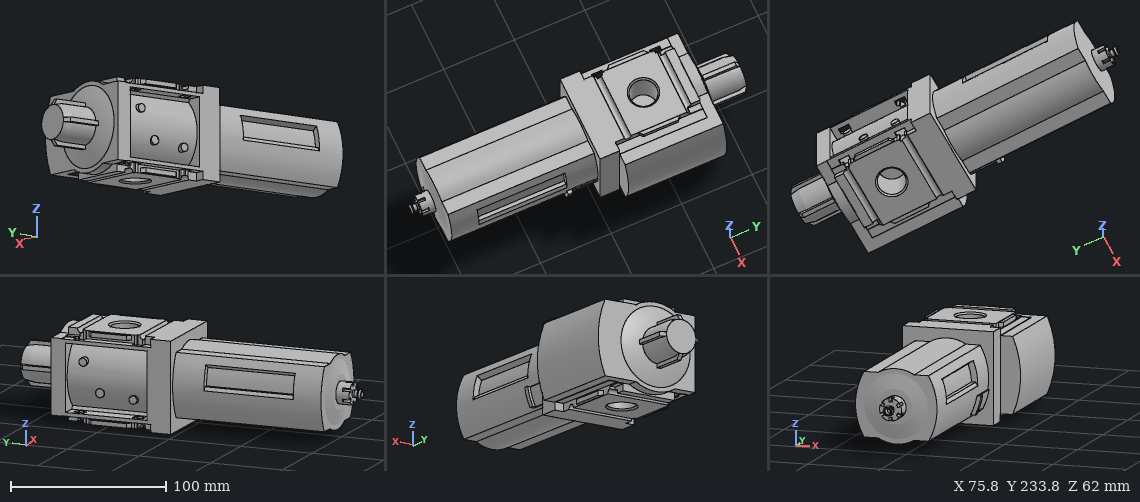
import cadquery as cq
import math


block_half = 31.0
collar_end_y = -45.0
cover_half_z = 25.8
strip_half_z = 25.5
plate_end_y = 38.7
cover_edge_x = 39.4
cover_crown_x = 44.8
plate_barrel_radius = 30.0

pad_half_x = 24.3
wing_reach_x = 26.9
wing_root_half_y = 14.7
wing_tip_half_y = 12.3
wing_top_z = 30.7
wing_bottom_z = 27.5
port_diameter = 18.63
port_mouth_diameter = 20.9
port_mouth_depth = (port_mouth_diameter - port_diameter) / 2
port_depth = 25.0
groove_radius = 2.35
groove_offset_y = 22.2
groove_centre_z = block_half - 0.5
notch_inner_x = 20.1
notch_front_y = 21.9
notch_floor_z = 26.3

window_half_y = 28.4
window_half_z = 23.0
window_chamfer_x = -20.8
column_radius = 28.4
column_half_z = 20.8
column_edge_x = -math.sqrt(column_radius ** 2 - column_half_z ** 2)
clip_offset_y = 20.5
clip_head_outer_x = -27.6
clip_head_inner_x = -24.0
clip_head_width = 7.2
clip_neck_inner_x = -22.4
clip_neck_width = 3.6
column_pins = [
    (5.5, -28.8, 17.3, 10.9),
    (6.0, -28.0, 5.8, -8.8),
    (5.5, -28.8, -17.7, -11.0),
]

dome_radius = 27.0
dome_middle_radius = 20.5
dome_middle_y = 41.0
knob_base_y = 42.2
knob_end_y = 68.0
knob_core_radius = 12.6
knob_end_radius = 11.4
knob_taper_y = 61.5
knob_rib_radius = 15.15
knob_rib_width = 2.9
knob_rib_chamfer_y = 65.2

bowl_half_x = 27.85
bowl_flat_half_z = 21.65
bowl_corner_x = 22.0
bowl_bulge_radius = 24.9
bowl_end_y = -148.6
bowl_side_radius = ((bowl_half_x - bowl_corner_x) ** 2 + bowl_flat_half_z ** 2) / (
    2 * (bowl_half_x - bowl_corner_x)
)
end_cone_radius = 21.6
end_flat_radius = 11.7
end_flat_y = -150.5

sight_top_y = -66.9
sight_bottom_y = -129.2
sight_depth = 4.2
sight_upper_z = 16.1
sight_upper_floor_z = 13.5
sight_shelf_z = 1.8
sight_bevel_depth = 1.5
sight_lower_z = -0.6

latch_upper_z = -7.2
latch_lower_z = -20.0
latch_thickness = 0.9
latch_lip_thickness = 2.8
latch_lip_top_y = -63.6
latch_bottom_y = sight_top_y

drain_radius = 7.5
drain_end_y = -159.8
drain_slot_count = 6
drain_slot_width = 2.0
drain_slot_top_y = -154.8
drain_slot_inner_radius = 5.2
stem_radius = 2.5
stem_ring_radius = 3.3
stem_ring_y = -163.9
stem_ring_width = 0.8
stem_tip_radius = 2.8
stem_end_y = -165.8
stem_bore_diameter = 3.8
stem_bore_depth = 5.0


def box(x0, x1, y0, y1, z0, z1):
    return cq.Workplane("XY").box(x1 - x0, y1 - y0, z1 - z0, centered=False).translate((x0, y0, z0))


def section_at(y):
    """Workplane of a cross-section of the part; it extrudes towards -Y."""
    return cq.Workplane("XZ", origin=(0, y, 0))


def side_x(z, inset=0.0):
    """Distance from the part axis to the rounded bowl side at height z."""
    radius = bowl_side_radius - inset
    return bowl_half_x - bowl_side_radius + math.sqrt(radius ** 2 - z ** 2)


def on_both_ends(shape):
    """The shape together with its mirror image on the -Z side."""
    return shape.union(shape.mirror("XY"))


def housing_blank():
    block = (
        cq.Workplane("YZ", origin=(-block_half, 0, 0))
        .rect(2 * block_half, 2 * strip_half_z)
        .extrude(2 * block_half)
    )
    plate = box(-block_half, cover_edge_x, block_half, plate_end_y, -cover_half_z, cover_half_z)
    collar = box(-block_half, block_half, collar_end_y, -block_half, -block_half, block_half)
    barrel = section_at(plate_end_y).circle(plate_barrel_radius).extrude(plate_end_y - block_half)
    return block.union(plate).union(collar).union(barrel).union(side_cover())


def side_cover():
    return (
        section_at(plate_end_y)
        .moveTo(block_half, -cover_half_z)
        .lineTo(cover_edge_x, -cover_half_z)
        .threePointArc((cover_crown_x, 0), (cover_edge_x, cover_half_z))
        .lineTo(block_half, cover_half_z)
        .close()
        .extrude(plate_end_y + block_half)
    )


def port_pads():
    pads = box(-pad_half_x, pad_half_x, -block_half, block_half, -block_half, block_half)
    wings = (
        cq.Workplane("XY", origin=(0, 0, wing_bottom_z))
        .polyline([
            (-pad_half_x, -wing_root_half_y),
            (-wing_reach_x, -wing_tip_half_y),
            (-wing_reach_x, wing_tip_half_y),
            (-pad_half_x, wing_root_half_y),
            (pad_half_x, wing_root_half_y),
            (wing_reach_x, wing_tip_half_y),
            (wing_reach_x, -wing_tip_half_y),
            (pad_half_x, -wing_root_half_y),
        ])
        .close()
        .extrude(wing_top_z - wing_bottom_z)
    )
    return pads.union(on_both_ends(wings))


def pad_cuts():
    """Port, two clamping grooves and two corner notches at each end."""
    port = (
        cq.Workplane("XY", origin=(0, 0, block_half))
        .circle(port_diameter / 2)
        .extrude(-port_depth)
    )
    mouth = cq.Workplane("XY").add(cq.Solid.makeCone(
        port_diameter / 2,
        port_mouth_diameter / 2,
        port_mouth_depth,
        pnt=cq.Vector(0, 0, block_half - port_mouth_depth),
    ))
    cuts = port.union(mouth)
    for side in (-1, 1):
        groove = (
            cq.Workplane("YZ", origin=(-pad_half_x, 0, 0))
            .center(side * groove_offset_y, groove_centre_z)
            .circle(groove_radius)
            .extrude(2 * pad_half_x)
        )
        inner, outer = sorted((side * notch_inner_x, side * pad_half_x))
        notch = box(inner, outer, notch_front_y, block_half, notch_floor_z, block_half)
        cuts = cuts.union(groove).union(notch)
    return on_both_ends(cuts)


def window_cut():
    """Recess in the -X wall that leaves the rounded column standing."""
    return (
        section_at(window_half_y)
        .moveTo(-block_half, -window_half_z)
        .lineTo(window_chamfer_x, -window_half_z)
        .lineTo(column_edge_x, -column_half_z)
        .threePointArc((-column_radius, 0), (column_edge_x, column_half_z))
        .lineTo(window_chamfer_x, window_half_z)
        .lineTo(-block_half, window_half_z)
        .close()
        .extrude(2 * window_half_y)
    )


def clip_slots():
    """T-shaped slots through the walls above and below the window."""
    head = box(
        clip_head_outer_x, clip_head_inner_x,
        -clip_head_width / 2, clip_head_width / 2,
        column_half_z, block_half,
    )
    neck = box(
        clip_head_inner_x, clip_neck_inner_x,
        -clip_neck_width / 2, clip_neck_width / 2,
        column_half_z, block_half,
    )
    slot = head.union(neck)
    rear_slot = slot.translate((0, clip_offset_y, 0))
    front_slot = slot.translate((0, -clip_offset_y, 0))
    return on_both_ends(rear_slot.union(front_slot))


def column_pin(diameter, end_x, y, z):
    """Pin that stands on the column and points towards -X."""
    return (
        cq.Workplane("YZ", origin=(end_x, 0, 0))
        .center(y, z)
        .circle(diameter / 2)
        .extrude(column_edge_x - end_x)
    )


def dome_and_knob():
    core = (
        cq.Workplane("XY")
        .moveTo(0, plate_end_y)
        .lineTo(dome_radius, plate_end_y)
        .threePointArc((dome_middle_radius, dome_middle_y), (knob_core_radius, knob_base_y))
        .lineTo(knob_core_radius, knob_taper_y)
        .lineTo(knob_end_radius, knob_end_y)
        .lineTo(0, knob_end_y)
        .close()
        .revolve(360, (0, 0, 0), (0, 1, 0))
    )
    rib_pair = (
        cq.Workplane("XY")
        .polyline([
            (-knob_rib_radius, knob_base_y),
            (-knob_rib_radius, knob_rib_chamfer_y),
            (-knob_end_radius, knob_end_y),
            (knob_end_radius, knob_end_y),
            (knob_rib_radius, knob_rib_chamfer_y),
            (knob_rib_radius, knob_base_y),
        ])
        .close()
        .extrude(knob_rib_width / 2, both=True)
    )
    return core.union(rib_pair).union(rib_pair.rotate((0, 0, 0), (0, 1, 0), 90))


def make_housing():
    housing = housing_blank().union(port_pads()).cut(pad_cuts())
    housing = housing.cut(window_cut()).cut(clip_slots())
    for diameter, end_x, y, z in column_pins:
        housing = housing.union(column_pin(diameter, end_x, y, z))
    return housing.union(dome_and_knob())


def bowl_shell():
    sides = (
        section_at(collar_end_y)
        .moveTo(-bowl_corner_x, -bowl_flat_half_z)
        .lineTo(bowl_corner_x, -bowl_flat_half_z)
        .threePointArc((bowl_half_x, 0), (bowl_corner_x, bowl_flat_half_z))
        .lineTo(-bowl_corner_x, bowl_flat_half_z)
        .threePointArc((-bowl_half_x, 0), (-bowl_corner_x, -bowl_flat_half_z))
        .close()
        .extrude(collar_end_y - bowl_end_y)
    )
    bulge = section_at(collar_end_y).circle(bowl_bulge_radius).extrude(collar_end_y - bowl_end_y)
    return sides.union(bulge)


def sight_window():
    """Recess with a rounded floor in the -X side of the bowl."""
    middle_z = (sight_upper_floor_z + sight_shelf_z) / 2
    return (
        section_at(sight_top_y)
        .moveTo(-block_half, sight_lower_z)
        .lineTo(-side_x(sight_lower_z), sight_lower_z)
        .lineTo(-side_x(sight_shelf_z, sight_bevel_depth), sight_shelf_z)
        .lineTo(-side_x(sight_shelf_z, sight_depth), sight_shelf_z)
        .threePointArc(
            (-side_x(middle_z, sight_depth), middle_z),
            (-side_x(sight_upper_floor_z, sight_depth), sight_upper_floor_z),
        )
        .lineTo(-side_x(sight_upper_z), sight_upper_z)
        .lineTo(-block_half, sight_upper_z)
        .close()
        .extrude(sight_top_y - sight_bottom_y)
    )


def latch_band(thickness, top_y):
    """Band of the given thickness that follows the +X side of the bowl."""
    middle_z = (latch_upper_z + latch_lower_z) / 2
    return (
        section_at(top_y)
        .moveTo(bowl_corner_x - thickness, latch_lower_z)
        .lineTo(side_x(latch_lower_z, -thickness), latch_lower_z)
        .threePointArc(
            (side_x(middle_z, -thickness), middle_z),
            (side_x(latch_upper_z, -thickness), latch_upper_z),
        )
        .lineTo(bowl_corner_x - thickness, latch_upper_z)
        .close()
        .extrude(top_y - latch_bottom_y)
    )


def bowl_end_and_drain():
    ring_top_y = stem_ring_y + stem_ring_width / 2
    ring_bottom_y = stem_ring_y - stem_ring_width / 2
    drain = (
        cq.Workplane("XY")
        .polyline([
            (0, bowl_end_y),
            (end_cone_radius, bowl_end_y),
            (end_flat_radius, end_flat_y),
            (drain_radius, end_flat_y),
            (drain_radius, drain_end_y),
            (stem_radius, drain_end_y),
            (stem_radius, ring_top_y),
            (stem_ring_radius, ring_top_y),
            (stem_ring_radius, ring_bottom_y),
            (stem_tip_radius, stem_end_y),
            (0, stem_end_y),
        ])
        .close()
        .revolve(360, (0, 0, 0), (0, 1, 0))
    )
    slot = box(
        -drain_slot_width / 2, drain_slot_width / 2,
        drain_end_y, drain_slot_top_y,
        drain_slot_inner_radius, drain_radius,
    )
    for index in range(drain_slot_count):
        drain = drain.cut(slot.rotate((0, 0, 0), (0, 1, 0), index * 360 / drain_slot_count))
    bore = section_at(stem_end_y + stem_bore_depth).circle(stem_bore_diameter / 2).extrude(stem_bore_depth)
    return drain.cut(bore)


def make_bowl():
    window = sight_window()
    bowl = bowl_shell().cut(window).cut(window.mirror("YZ"))
    bowl = bowl.union(latch_band(latch_thickness, collar_end_y))
    bowl = bowl.union(latch_band(latch_lip_thickness, latch_lip_top_y))
    return bowl.union(bowl_end_and_drain())


housing = make_housing()
bowl = make_bowl()
result = cq.Compound.makeCompound([housing.val(), bowl.val()])